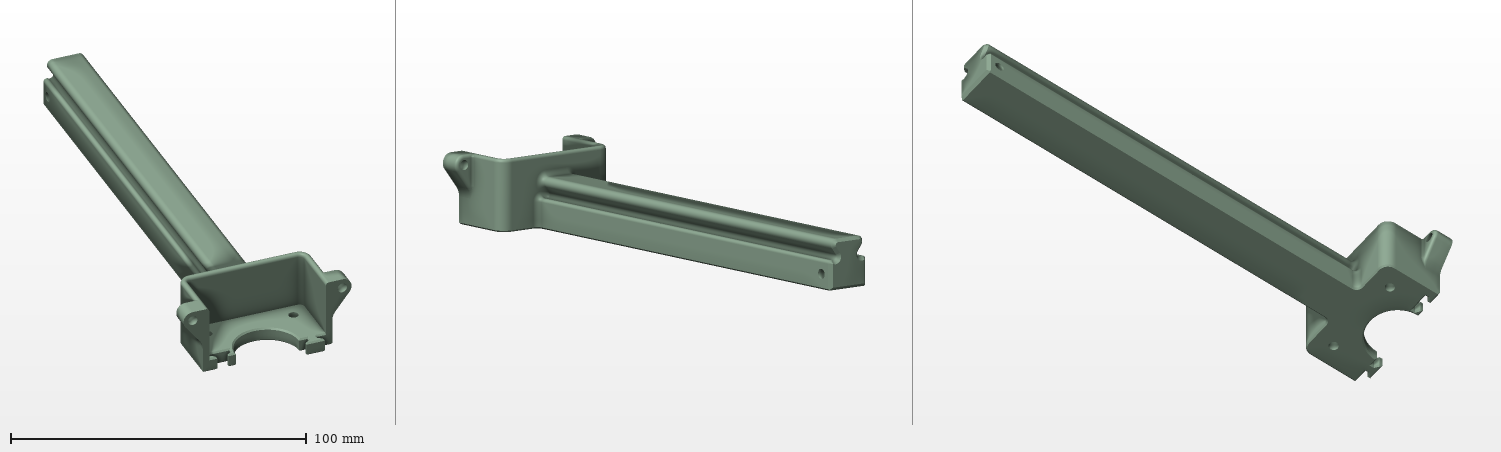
import cadquery as cq
import math

total_length = 183.0
total_width = 61.5
tab_reach = 3.3
bracket_length = 23.0
bracket_front = total_length - tab_reach
bracket_back = bracket_front - bracket_length
bracket_width = 47.4
bracket_height = 25.0
bracket_corner_radius = 4.2
wall = 2.4
floor_thickness = 5.0

rail_half_width = 8.0
rail_height = 17.5
head_flat_half_width = 4.8
head_radius = 2.0
groove_radius = 1.23
groove_y = 5.7
groove_z = 11.3
shoulder_radius = 1.19
root_fillet = 2.0
tip_chamfer = 1.1

hole_diameter = 3.5
rail_hole_x = 4.8
rail_hole_z = 5.3
floor_hole_setback = 7.9
floor_hole_x = bracket_back + floor_hole_setback
floor_hole_y = 15.7

cutout_radius = 11.5
joint_y = 16.3
joint_neck_length = 1.1
joint_neck_half_width = 1.74
joint_head_half_width = 3.39
joint_flare_length = 1.1
joint_clearance = 0.27
floor_edge_chamfer = 0.5

ear_radius = 3.39
ear_thickness = 7.3
ear_y = total_width / 2 - ear_radius
ear_z = bracket_height - ear_radius
ear_slope = math.radians(52)
ear_edge_fillet = wall / 2
ear_root_radius = 5.5
ear_root_fillet = 0.7

tolerance = 0.02


def on_circle(center, radius, angle):
    """Point on a circle at an angle in radians."""
    return (center[0] + radius * math.cos(angle), center[1] + radius * math.sin(angle))


def rail_profile():
    """Closed half section (Y >= 0) of the rail, in the YZ plane."""
    head = (head_flat_half_width, rail_height - head_radius)
    groove = (groove_y, groove_z)
    head_distance = math.dist(head, groove)
    head_direction = math.atan2(head[1] - groove[1], head[0] - groove[0])
    flank_angle = head_direction - math.acos(-(head_radius + groove_radius) / head_distance)
    shoulder_y = rail_half_width - shoulder_radius
    shoulder_distance = groove_radius + shoulder_radius
    shoulder_angle = math.acos((shoulder_y - groove_y) / shoulder_distance)
    shoulder = on_circle(groove, shoulder_distance, -shoulder_angle)
    return (
        cq.Workplane("YZ")
        .lineTo(rail_half_width, 0)
        .lineTo(rail_half_width, shoulder[1])
        .threePointArc(
            on_circle(shoulder, shoulder_radius, (math.pi - shoulder_angle) / 2),
            on_circle(groove, groove_radius, -shoulder_angle),
        )
        .threePointArc(
            (groove_y - groove_radius, groove_z),
            on_circle(groove, groove_radius, flank_angle + math.pi),
        )
        .lineTo(*on_circle(head, head_radius, flank_angle))
        .threePointArc(on_circle(head, head_radius, 0), (head_flat_half_width, rail_height))
        .lineTo(0, rail_height)
        .close()
    )


def make_rail():
    half = rail_profile().extrude(bracket_back + wall / 2)
    return half.union(half.mirror("XZ"))


def make_floor():
    return (
        cq.Workplane("XY")
        .rect(bracket_length, bracket_width)
        .extrude(floor_thickness)
        .edges("|Z and <X")
        .fillet(bracket_corner_radius)
        .translate((bracket_back + bracket_length / 2, 0, 0))
    )


def make_walls():
    """U-shaped wall with a fully rounded rim."""
    middle_x = bracket_back + wall / 2
    middle_y = (bracket_width - wall) / 2
    bend = bracket_corner_radius - wall / 2
    bend_cut = bend * (1 - math.sqrt(0.5))
    path = (
        cq.Workplane("XY")
        .moveTo(bracket_front, middle_y)
        .lineTo(middle_x + bend, middle_y)
        .threePointArc((middle_x + bend_cut, middle_y - bend_cut), (middle_x, middle_y - bend))
        .lineTo(middle_x, bend - middle_y)
        .threePointArc((middle_x + bend_cut, bend_cut - middle_y), (middle_x + bend, -middle_y))
        .lineTo(bracket_front, -middle_y)
    )
    rim_z = bracket_height - wall / 2
    return (
        cq.Workplane("YZ", origin=(bracket_front, middle_y, 0))
        .moveTo(-wall / 2, 0)
        .lineTo(wall / 2, 0)
        .lineTo(wall / 2, rim_z)
        .threePointArc((0, bracket_height), (-wall / 2, rim_z))
        .close()
        .sweep(path)
    )


def make_ear():
    """Screw ear on the +Y wall, with a sloped underside that curves into the wall."""
    wall_y = bracket_width / 2
    inner_y = wall_y - wall / 2
    tangent_y = ear_y + ear_radius * math.sin(ear_slope)
    tangent_z = ear_z - ear_radius * math.cos(ear_slope)
    corner_z = tangent_z - (tangent_y - wall_y) * math.tan(ear_slope)
    turn = math.pi / 2 - ear_slope
    setback = ear_root_radius * math.tan(turn / 2)
    root_z = corner_z - setback
    root_center = (wall_y + ear_root_radius, root_z)
    ear = (
        cq.Workplane("YZ")
        .moveTo(inner_y, bracket_height)
        .lineTo(ear_y, bracket_height)
        .threePointArc((ear_y + ear_radius, ear_z), (tangent_y, tangent_z))
        .lineTo(wall_y + setback * math.cos(ear_slope), corner_z + setback * math.sin(ear_slope))
        .threePointArc(
            on_circle(root_center, ear_root_radius, math.pi - turn / 2),
            (wall_y, root_z),
        )
        .lineTo(inner_y, root_z)
        .close()
        .extrude(ear_thickness)
    )
    beyond_wall = ((-ear_thickness, wall_y, 0), (ear_thickness, total_width, 2 * bracket_height))
    on_free_outline = cq.selectors.BoxSelector(*beyond_wall)
    ear = ear.faces("<X").edges(on_free_outline).fillet(ear_edge_fillet)
    return ear.translate((bracket_front - ear_thickness, 0, 0))


def joint(direction, clearance):
    """Puzzle-joint outline extruded to the floor thickness; direction is +1 outward, -1 inward."""
    neck = joint_neck_half_width + clearance
    head = joint_head_half_width + clearance
    neck_x = direction * joint_neck_length
    flare_x = direction * (joint_neck_length + joint_flare_length)
    end_x = direction * tab_reach
    half = [(neck_x, neck), (flare_x, head), (end_x, head)]
    other = [(x, -y) for x, y in reversed(half)]
    base = -direction * wall
    return (
        cq.Workplane("XY")
        .polyline([(base, neck)] + half + other + [(base, -neck)])
        .close()
        .extrude(floor_thickness)
        .translate((bracket_front, 0, 0))
    )


def at_bracket_back(edge):
    """Edges where the rail outline meets the back wall."""
    box = edge.BoundingBox()
    on_back_face = box.xmin > bracket_back - tolerance and box.xmax < bracket_back + tolerance
    near_rail = max(-box.ymin, box.ymax) < rail_half_width + root_fillet
    return on_back_face and near_rail and box.zmax > root_fillet


def on_floor_front(edge):
    """Top edges of the floor that run along its open front, tab, socket and cutout."""
    box = edge.BoundingBox()
    on_floor = box.zmin > floor_thickness - tolerance and box.zmax < floor_thickness + tolerance
    center = edge.Center()
    in_front = center.x > bracket_front - cutout_radius
    between_walls = abs(center.y) < bracket_width / 2 - wall - tolerance
    return on_floor and in_front and between_walls


def at_ear_root(edge):
    """Vertical edges where the back of an ear meets the wall."""
    center = edge.Center()
    at_wall = abs(abs(center.y) - bracket_width / 2) < tolerance
    at_ear_face = abs(center.x - (bracket_front - ear_thickness)) < tolerance
    return edge.geomType() == "LINE" and at_wall and at_ear_face


def holes():
    """Cutters for the rail tip hole, the two floor holes and the two ear holes."""
    radius = hole_diameter / 2
    rail_hole = (
        cq.Workplane("XZ")
        .center(rail_hole_x, rail_hole_z)
        .circle(radius)
        .extrude(bracket_width, both=True)
    )
    floor_holes = (
        cq.Workplane("XY")
        .pushPoints([(floor_hole_x, -floor_hole_y), (floor_hole_x, floor_hole_y)])
        .circle(radius)
        .extrude(floor_thickness)
    )
    ear_holes = (
        cq.Workplane("YZ")
        .workplane(offset=bracket_front - ear_thickness)
        .pushPoints([(-ear_y, ear_z), (ear_y, ear_z)])
        .circle(radius)
        .extrude(ear_thickness)
    )
    return rail_hole.union(floor_holes).union(ear_holes)


rail = make_rail().faces("<X").chamfer(tip_chamfer)
result = rail.union(make_floor()).union(make_walls())
rail_root = [e for e in result.edges().vals() if at_bracket_back(e)]
result = result.newObject(rail_root).fillet(root_fillet)

cutout = cq.Workplane("XY").center(bracket_front, 0).circle(cutout_radius).extrude(floor_thickness)
socket = joint(-1, joint_clearance).translate((0, -joint_y, 0))
tab = joint(1, 0).translate((0, joint_y, 0))
result = result.cut(cutout).cut(socket).union(tab)
joint_edges = [e for e in result.edges().vals() if on_floor_front(e)]
result = result.newObject(joint_edges).chamfer(floor_edge_chamfer)

ear = make_ear()
result = result.union(ear).union(ear.mirror("XZ"))
ear_roots = [e for e in result.edges().vals() if at_ear_root(e)]
result = result.newObject(ear_roots).fillet(ear_root_fillet)

result = result.faces("<Z").edges("not <X").chamfer(floor_edge_chamfer)
result = result.cut(holes())